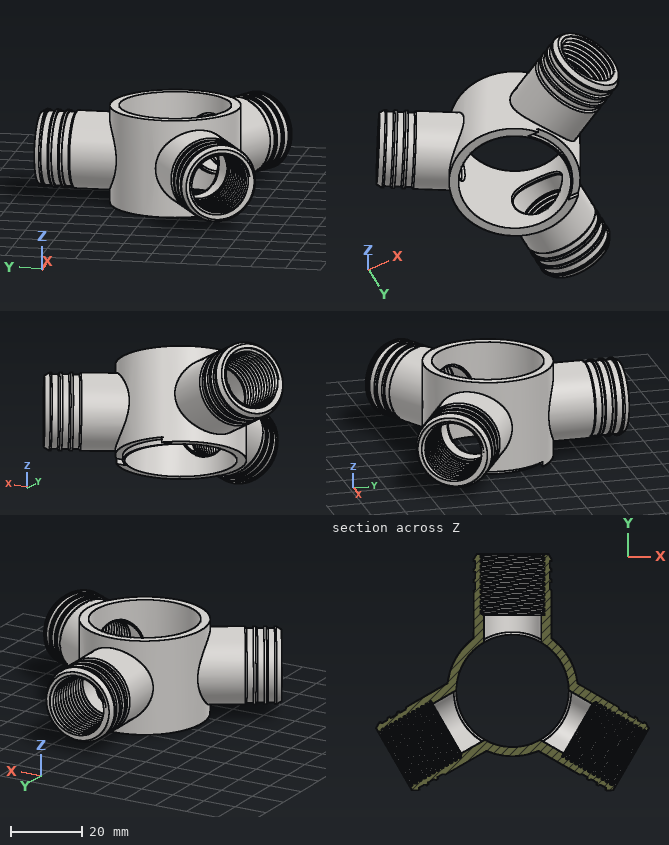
import cadquery as cq
import math

hub_height = 28.0
hub_radius = 18.4
hub_bore_radius = 15.75

rim_recess_height = 1.5
rim_recess_width = 24.5
rim_recess_radius = 16.25

branch_count = 3
first_branch_angle = 90.0
branch_radius = 11.0
branch_length = 20.0
branch_end = hub_radius + branch_length

tip_chamfer_length = 1.5
tip_radius = 10.1
rib_pitch = 3.0
first_rib_end = 2.0
rib_crest_width = 0.7
rib_flank_length = 0.5
groove_radius = 10.5
groove_count = 3

mouth_half_width = 8.0
mouth_half_height = 8.75
mouth_floor_radius = 16.5

thread_root_radius = 9.0
thread_pitch = branch_length / 14
thread_crest_radius = 8.2
thread_half_angle = 30.0
thread_length = 12 * thread_pitch
thread_turn_start = 270.0
thread_offset = 0.44
plain_bore_radius = 8.0
thread_root_overlap = 0.1


def make_branch_body():
    """Solid branch along +Z from the hub axis, with its ribs and tip chamfer."""
    outline = [
        (0, 0),
        (0, branch_end),
        (tip_radius, branch_end),
        (branch_radius, branch_end - tip_chamfer_length),
    ]
    for i in range(groove_count):
        groove_top = branch_end - first_rib_end - i * rib_pitch
        next_crest_top = groove_top - rib_pitch + rib_crest_width
        outline += [
            (branch_radius, groove_top),
            (groove_radius, groove_top),
            (groove_radius, next_crest_top + rib_flank_length),
            (branch_radius, next_crest_top),
        ]
    outline.append((branch_radius, 0))
    return cq.Workplane("XZ").polyline(outline).close().revolve(360, (0, 0), (0, 1))


def make_ridge_turn():
    """One full turn of the sharp thread ridge, climbing one pitch along +Z."""
    root_radius = thread_root_radius + thread_root_overlap
    half_base = (root_radius - thread_crest_radius) * math.tan(math.radians(thread_half_angle))
    helix = cq.Wire.makeHelix(thread_pitch, thread_pitch, thread_root_radius)
    return (
        cq.Workplane("XZ")
        .polyline([(root_radius, -half_base), (thread_crest_radius, 0), (root_radius, half_base)])
        .close()
        .sweep(cq.Workplane(helix), isFrenet=True)
        .rotate((0, 0, 0), (0, 0, 1), thread_turn_start)
    )


def make_threaded_bore():
    """Space inside the threaded end of a branch along +Z."""
    bore = cq.Workplane("XY").circle(thread_root_radius).extrude(thread_length)
    bore = bore.translate((0, 0, branch_end - thread_length))
    ridge_turn = make_ridge_turn()
    turn_count = math.ceil(thread_length / thread_pitch) + 2
    for i in range(turn_count):
        bore = bore.cut(ridge_turn.translate((0, 0, branch_end + thread_offset - i * thread_pitch)))
    return bore


def make_bore_mouth():
    """Oval enlargement of the bore where it meets the inside of the hub."""
    oval = cq.Workplane("XY").ellipse(mouth_half_width, mouth_half_height).extrude(hub_radius)
    skin = cq.Workplane("XZ").circle(mouth_floor_radius).extrude(hub_height / 2, both=True)
    return oval.intersect(skin)


def spread_around_hub(shape):
    """Lay a +Z shape down along +Y and copy it to every branch position."""
    laid = shape.rotate((0, 0, 0), (1, 0, 0), -90)
    step = 360.0 / branch_count
    start = first_branch_angle - 90.0
    return [laid.rotate((0, 0, 0), (0, 0, 1), start + i * step) for i in range(branch_count)]


def make_hub():
    return cq.Workplane("XY").circle(hub_radius).extrude(hub_height).translate((0, 0, -hub_height / 2))


def make_rim_recess():
    ring = cq.Workplane("XY").circle(branch_end).circle(rim_recess_radius).extrude(rim_recess_height)
    side = cq.Workplane("XY").box(
        2 * hub_radius, rim_recess_width, rim_recess_height, centered=(False, True, False)
    )
    return ring.intersect(side).translate((0, 0, -hub_height / 2))


def make_plain_bore():
    return cq.Workplane("XY").circle(plain_bore_radius).extrude(branch_end)


def make_hub_bore():
    return cq.Workplane("XY").circle(hub_bore_radius).extrude(hub_height, both=True)


body = make_hub()
for branch in spread_around_hub(make_branch_body()):
    body = body.union(branch)

for space in (make_plain_bore(), make_threaded_bore(), make_bore_mouth()):
    for placed_space in spread_around_hub(space):
        body = body.cut(placed_space)

body = body.cut(make_hub_bore())
body = body.cut(make_rim_recess())

result = body